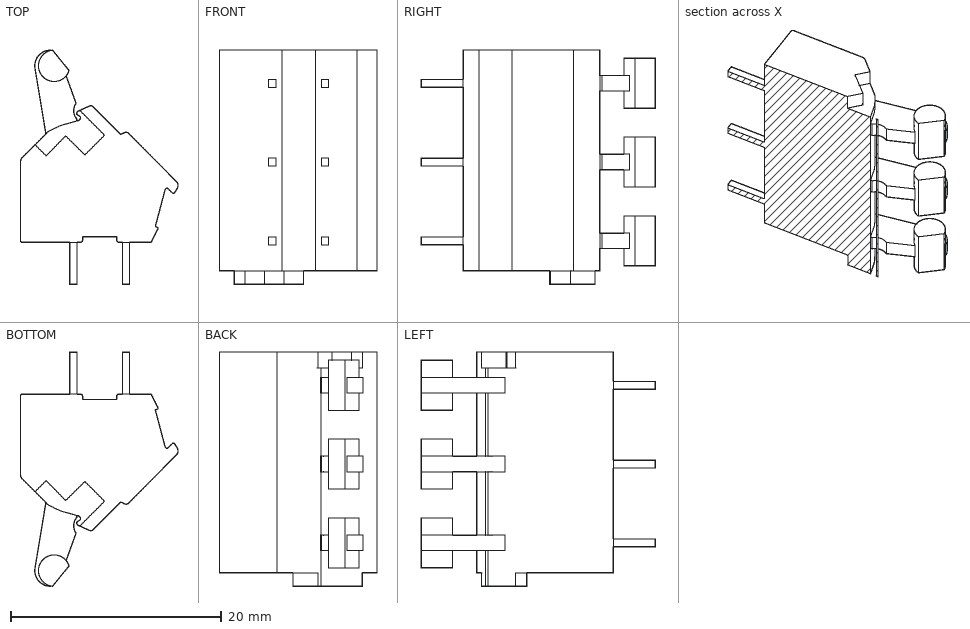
import cadquery as cq
import math


total_height = 22.3
tongue_height = 1.3
housing_height = total_height - tongue_height
recess_depth = 1.54

pole_count = 3
pole_pitch = 7.5
first_pole_z = 2.85

pin_width = 0.7
pin_height = 0.75
pin_length = 4.0
pin_spacing = 5.0
first_pin_x = 5.05
pin_embed = 1.12

arm_thickness = 1.5
knob_length = 4.77
knob_radius = 1.5
knob_x = 3.21
knob_y = 16.8
arm_end_x = 2.85
knob_flat_offset = 0.83
knob_flat_angle = 39
arm_lean_angle = 9.4
arm_root_y = 9.81
arm_neck = (4.37, 15.8)
arm_shoulder = (5.3, 13.22)
arm_waist = (5.08, 12.55)
arm_foot = (5.37, 11.73)

coding_corners = [(2.45, 8.23), (4.3, 10.12), (6.13, 8.32), (8.0, 10.2)]
coding_opening = 3.57

slot_left = 5.93
slot_right = 9.15
slot_depth = 0.51
slot_radius = 0.25

housing_corners = [
    (0, 0, 0.15),
    (slot_left, 0, slot_radius),
    (slot_left, slot_depth, 0),
    (slot_right, slot_depth, 0),
    (slot_right, 0, slot_radius),
    (12.45, 0, 0.11),
    (13.13, 1.38, 0.07),
    (12.85, 1.52, 0),
    (13.85, 5.29, 0.15),
    (14.58, 4.57, 0.15),
    (15.15, 5.49, 0.54),
    (10.12, 10.55, 0.33),
    (9.55, 10.28, 0),
    (6.75, 13.07, 0.33),
    (5.35, 12.42, 0.27),
    (5.35, 12.18, 0),
    (5.7, 11.93, 0),
    (5.7, 11.65, 0.3),
    (3.8, 11.1, 1.78),
    (2.65, 10.55, 0.55),
    (0, 7.9, 0.55),
]


def housing_prism(bottom_z, height):
    """Housing outline extruded upward, with its corners rounded."""
    points = [(x, y) for x, y, radius in housing_corners]
    prism = cq.Workplane("XY").workplane(offset=bottom_z).polyline(points).close().extrude(height)
    for x, y, radius in housing_corners:
        if radius > 0:
            corner = cq.selectors.NearestToPointSelector((x, y, bottom_z + height / 2))
            prism = prism.edges("|Z").edges(corner).fillet(radius)
    return prism


def coding_prism(bottom_z, height):
    """Zigzag of 45 degree steps, open past the housing on the lever side."""
    left_x, left_y = coding_corners[0]
    right_x, right_y = coding_corners[-1]
    outline = [
        (left_x - coding_opening, left_y + coding_opening),
        *coding_corners,
        (right_x - coding_opening, right_y + coding_opening),
    ]
    return cq.Workplane("XY").workplane(offset=bottom_z).polyline(outline).close().extrude(height)


def pin(x, z):
    """Rectangular pin from inside the housing out past the pin face."""
    bar = cq.Workplane("XY").box(pin_width, pin_length + pin_embed, pin_height, centered=(True, False, True))
    return bar.translate((x, -pin_length, z))


def lever(z):
    """Leaning arm with a round end and a D-shaped knob across it."""
    lean = math.radians(arm_lean_angle)
    tangent_x = arm_end_x - knob_radius * math.cos(lean)
    tangent_y = knob_y - knob_radius * math.sin(lean)
    root_x = tangent_x + (tangent_y - arm_root_y) * math.tan(lean)
    diagonal = knob_radius * math.sqrt(0.5)
    end_middle = (arm_end_x - diagonal, knob_y + diagonal)
    arm = (
        cq.Workplane("XY").workplane(offset=z - arm_thickness / 2)
        .moveTo(root_x, arm_root_y)
        .lineTo(tangent_x, tangent_y)
        .threePointArc(end_middle, (arm_end_x, knob_y + knob_radius))
        .lineTo(*arm_neck)
        .lineTo(*arm_shoulder)
        .threePointArc(arm_waist, arm_foot)
        .lineTo(arm_foot[0], arm_root_y)
        .close()
        .extrude(arm_thickness)
    )
    knob = cq.Workplane("XY").circle(knob_radius).extrude(knob_length / 2, both=True)
    flat_cut = cq.Workplane("XY").box(knob_radius, 2 * knob_radius, knob_length, centered=(False, True, True))
    knob = knob.cut(flat_cut.translate((knob_flat_offset, 0, 0))).rotate((0, 0, 0), (0, 0, 1), knob_flat_angle)
    return arm.union(knob.translate((knob_x, knob_y, z)))


housing = housing_prism(0, housing_height)
recess = coding_prism(housing_height - recess_depth, recess_depth)
tongue = housing_prism(-tongue_height, housing_height).intersect(coding_prism(-tongue_height, tongue_height))

result = housing.cut(recess).union(tongue)
for pole in range(pole_count):
    pole_z = first_pole_z + pole * pole_pitch
    result = result.union(lever(pole_z))
    for pin_x in (first_pin_x, first_pin_x + pin_spacing):
        result = result.union(pin(pin_x, pole_z))